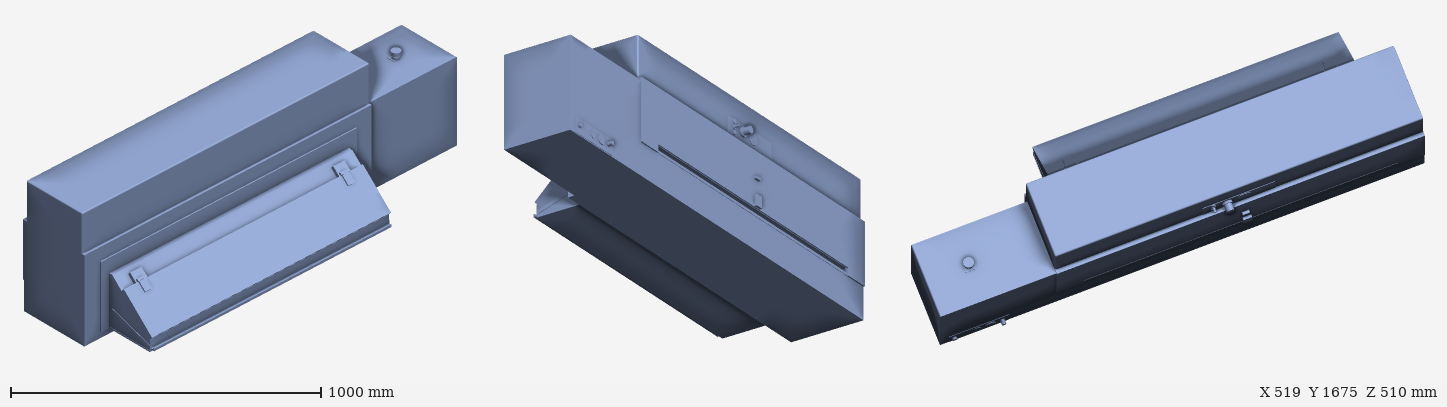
import cadquery as cq
import math


total_length = 1675.0
housing_length = 1273.0
housing_depth = 273.0
housing_height = 353.0
mid_y = housing_length / 2
hood_front_x = 10.0
hood_height = 157.0
side_box_depth = 258.0
side_box_height = 343.0
bend_radius = 5.0

door_thickness = 5.0
door_bottom_z = 120.0
back_panel_thickness = 10.0
notch_length = 1084.0
notch_height = 28.0
sill_thickness = 2.0
slot_length = 1074.0
slot_floor_z = 130.0
slot_radius = 17.0
pad_thickness = 2.0

grip_reach = 15.0
handle_width = 30.0
handle_height = 42.0
handle_bottom_z = 150.0
handle_y = 616.0
pin_height = 10.0
pin_round = 3.0
pin_length = 25.0
pin_y = 621.0
pin_z = 253.0

hood_pad_y = (513.0, 764.0)
hood_pad_height = 75.0
lamp_y = 727.0
lamp_pitch = 20.0
lamp_base_diameter = 16.0
toggle_diameter = 8.0
lamp_base_reach = 5.0
toggle_reach = 20.0
hood_control_z = 400.0
knob_y = 680.0
knob_flange_diameter = 35.0
knob_flange_reach = 10.0
knob_diameter = 27.0
knob_reach = 35.0
dial_y = 620.0
dial_diameter = 45.0
disc_reach = 3.0

box_pad_y = (1437.0, 1645.0)
box_pad_z = (3.0, 60.0)
box_control_z = 35.0
box_controls = [
    (1626.0, 16.2, 10.0),
    (1546.0, 27.0, disc_reach),
    (1500.0, 35.0, 5.0),
    (1460.0, 15.0, 20.0),
]

button_x = 129.0
button_y = 1525.0
button_plate_width = 32.0
button_plate_length = 40.0
button_plate_offset = -5.0
button_plate_thickness = 2.0
button_height = 30.0
button_stem_diameter = 28.0
button_collar_z = 10.0
button_groove_depth = 2.0
button_cap_diameter = 35.0
button_cap_thickness = 7.0

flange_thickness = 5.0
flange_length = 1132.0
flange_top_z = 298.0
hopper_length = 1059.0
hopper_bottom_z = 25.0
hopper_top_z = 238.0
hopper_front_x = 479.0
hopper_front_top_z = 74.0
slope_start_x = 303.0
back_x = housing_depth + back_panel_thickness
sheet_thickness = 5.0
sheet_proud = 2.0
rail_depth = 15.0
hopper_back_x = back_x + flange_thickness

tray_start_x = 303.0
tray_start_z = 107.0
tray_end_z = 50.0
tray_depth = 15.0
lip_length = 1052.0
lip_z = 33.0
lip_thickness = 5.0
lip_end_x = 494.0
lip_upturn = 10.0

lid_start = 59.0
lid_end = 240.0
lid_thickness = 13.0
latch_start = 20.0
latch_end = 99.0
latch_width = 50.0
tongue_width = 30.0
tongue_thickness = 5.0
ridge_start = 49.0
ridge_width = 40.0
ridge_height = 8.0
latch_spacing = 900.0


def block(x_range, y_range, z_range):
    """Axis-aligned box from its lower and upper limits."""
    (x0, x1), (y0, y1), (z0, z1) = x_range, y_range, z_range
    return cq.Workplane("XY").box(x1 - x0, y1 - y0, z1 - z0, centered=False).translate((x0, y0, z0))


def around(middle, length):
    """Lower and upper limits of a length centred on a position."""
    return (middle - length / 2, middle + length / 2)


def stud(face_x, y, z, diameter, reach):
    """Round stud standing out of a face towards -X."""
    plane = cq.Plane(origin=(face_x, y, z), xDir=(0, 1, 0), normal=(-1, 0, 0))
    return cq.Workplane(plane).circle(diameter / 2).extrude(reach)


def prism(outline, length):
    """XZ outline extruded along Y, centred on the housing."""
    return cq.Workplane("XZ", origin=(0, mid_y + length / 2, 0)).polyline(outline).close().extrude(length)


def on_slope(start, end, width, low, high, y):
    """Box lying on the hopper slope, placed by distances down the slope and square to it."""
    slope_angle = math.atan2(hopper_top_z - hopper_front_top_z, hopper_front_x - slope_start_x)
    plane = cq.Plane(
        origin=(slope_start_x, y, hopper_top_z),
        xDir=(math.cos(slope_angle), 0, -math.sin(slope_angle)),
        normal=(math.sin(slope_angle), 0, math.cos(slope_angle)),
    )
    middle = (start + end) / 2
    base = cq.Workplane(plane).workplane(offset=low).center(middle, 0)
    return base.rect(end - start, width).extrude(high - low)


def make_housing():
    housing = block((0, housing_depth), (0, housing_length), (0, housing_height))
    slot = (
        cq.Workplane("XZ", origin=(0, mid_y + slot_length / 2, slot_floor_z))
        .lineTo(slot_radius, 0)
        .radiusArc((0, slot_radius), -slot_radius)
        .close()
        .extrude(slot_length)
    )
    return housing.cut(slot)


def make_back_panel():
    return block((housing_depth, back_x), (0, housing_length), (0, housing_height))


def make_door():
    door = block((-door_thickness, 0), (0, housing_length), (door_bottom_z, housing_height))
    notch = block(
        (-door_thickness, 0),
        around(mid_y, notch_length),
        (door_bottom_z, door_bottom_z + notch_height),
    )
    sill = block((-sill_thickness, 0), around(mid_y, notch_length), (door_bottom_z, slot_floor_z))
    handle = block(
        (-grip_reach, -door_thickness),
        around(handle_y, handle_width),
        (handle_bottom_z, handle_bottom_z + handle_height),
    )
    pin = block(
        (-grip_reach, -door_thickness),
        around(pin_y, pin_length),
        around(pin_z, pin_height),
    ).edges("|X and >Y").fillet(pin_round)
    return door.cut(notch).union(sill).union(handle).union(pin)


def make_hood():
    top_z = housing_height + hood_height
    hood = block((hood_front_x, housing_depth), (0, housing_length), (housing_height, top_z))
    hood = hood.edges("|Z or >Z").fillet(bend_radius)
    pad = block(
        (hood_front_x - pad_thickness, hood_front_x),
        hood_pad_y,
        (housing_height, housing_height + hood_pad_height),
    )
    hood = hood.union(pad)
    for step in (-1, 0, 1):
        lamp_z = hood_control_z + step * lamp_pitch
        hood = hood.union(stud(hood_front_x, lamp_y, lamp_z, lamp_base_diameter, lamp_base_reach))
    hood = hood.union(stud(hood_front_x, lamp_y, hood_control_z, toggle_diameter, toggle_reach))
    hood = hood.union(stud(hood_front_x, knob_y, hood_control_z, knob_flange_diameter, knob_flange_reach))
    hood = hood.union(stud(hood_front_x, knob_y, hood_control_z, knob_diameter, knob_reach))
    return hood.union(stud(hood_front_x, dial_y, hood_control_z, dial_diameter, disc_reach))


def make_side_box():
    box = block((0, side_box_depth), (housing_length, total_length), (0, side_box_height))
    box = box.edges(">Y and >Z").fillet(bend_radius)
    box = box.union(block((-pad_thickness, 0), box_pad_y, box_pad_z))
    for y, diameter, reach in box_controls:
        box = box.union(stud(0, y, box_control_z, diameter, reach))
    return box


def make_button():
    base = cq.Workplane("XY", origin=(button_x, button_y, side_box_height))
    plate = (
        base.center(button_plate_offset, 0)
        .rect(button_plate_width, button_plate_length)
        .extrude(button_plate_thickness)
    )
    stem = base.circle(button_stem_diameter / 2).extrude(button_height)
    groove = (
        base.workplane(offset=button_collar_z)
        .circle(button_stem_diameter / 2)
        .circle(button_stem_diameter / 2 - button_groove_depth)
        .extrude(button_groove_depth)
    )
    cap = (
        base.workplane(offset=button_height - button_cap_thickness)
        .circle(button_cap_diameter / 2)
        .extrude(button_cap_thickness)
    )
    return plate.union(stem.cut(groove)).union(cap)


def make_hopper():
    sheet_length = hopper_length + 2 * sheet_proud
    flange = block((back_x, hopper_back_x), around(mid_y, flange_length), (hopper_bottom_z, flange_top_z))
    body = prism(
        [
            (hopper_back_x, hopper_bottom_z),
            (hopper_front_x, hopper_bottom_z),
            (hopper_front_x, hopper_front_top_z),
            (slope_start_x, hopper_top_z),
            (hopper_back_x, hopper_top_z),
        ],
        hopper_length,
    )
    back_sheet = block(
        (hopper_back_x, hopper_back_x + sheet_thickness),
        around(mid_y, sheet_length),
        (hopper_bottom_z, hopper_top_z),
    )
    floor_sheet = block(
        (hopper_back_x, hopper_front_x),
        around(mid_y, sheet_length),
        (hopper_bottom_z, hopper_bottom_z + sheet_thickness),
    )
    rail = on_slope(0, lid_start, sheet_length, -rail_depth, 0, mid_y)
    tray = prism(
        [
            (tray_start_x, tray_start_z),
            (hopper_front_x, tray_end_z),
            (hopper_front_x, tray_end_z - tray_depth),
            (tray_start_x, tray_start_z - tray_depth),
        ],
        sheet_length,
    )
    lip = prism(
        [
            (hopper_front_x, lip_z),
            (lip_end_x, lip_z),
            (lip_end_x, lip_z + lip_upturn),
            (lip_end_x - lip_thickness, lip_z + lip_upturn),
            (lip_end_x - lip_thickness, lip_z + lip_thickness),
            (hopper_front_x, lip_z + lip_thickness),
        ],
        lip_length,
    )
    hopper = flange.union(body)
    for part in (back_sheet, floor_sheet, rail, tray, lip):
        hopper = hopper.union(part)
    return hopper


def make_lid():
    return on_slope(lid_start, lid_end, hopper_length, 0, lid_thickness, mid_y)


def make_latch(y):
    tongue_top = lid_thickness + tongue_thickness
    foot = on_slope(latch_start, lid_start, latch_width, 0, lid_thickness, y)
    tongue = on_slope(ridge_start, latch_end, tongue_width, lid_thickness, tongue_top, y)
    ridge = on_slope(ridge_start, lid_start, ridge_width, lid_thickness, lid_thickness + ridge_height, y)
    return foot.union(tongue).union(ridge)


housing = make_housing()
back_panel = make_back_panel()
door = make_door()
hood = make_hood()
side_box = make_side_box()
button = make_button()
hopper = make_hopper()
lid = make_lid()
latches = [make_latch(mid_y + side * latch_spacing / 2) for side in (-1, 1)]

result = cq.Compound.makeCompound(
    [
        housing.val(),
        back_panel.val(),
        door.val(),
        hood.val(),
        side_box.val(),
        button.val(),
        hopper.val(),
        lid.val(),
        *[latch.val() for latch in latches],
    ]
)